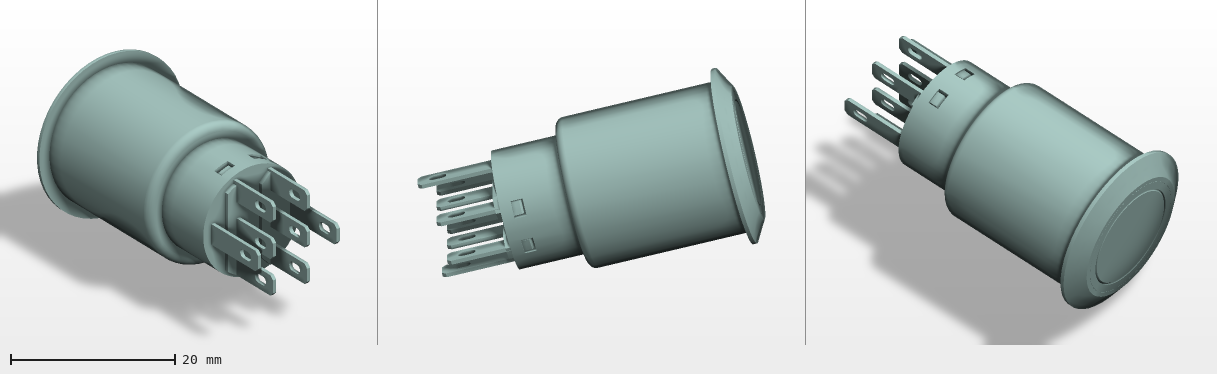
import cadquery as cq
import math


flange_diameter = 22.0
flange_thickness = 2.0
rim_width = 0.5
bevel_angle = 60.0
barrel_diameter = 18.9
barrel_end = 22.1
barrel_fillet = 1.0

base_diameter = 14.9
base_radius = base_diameter / 2
base_end = 30.5

recess_diameter = 15.55
recess_depth = flange_thickness
ring_diameter = 15.5
ring_bore = 13.45
button_diameter = 13.4
button_chamfer = 0.25

blade_thickness = 0.5
blade_width = 2.8
blade_corner = 0.5
blade_root = 1.0
slot_length = 2.2
slot_width = 1.2
slot_from_tip = 2.5
long_blade_tip = 40.0
long_blade_y = 6.0
short_blade_tip = 38.5
short_blade_y = 2.6
short_blade_spacing = 5.0

pad_height = 0.65
pad_width = 3.1
pad_arc_radius = 6.75
pad_arc_drop = 0.25
pad_chamfer = 1.3
pad_inner_y = short_blade_y - pad_width / 2
pad_root = 0.5

window_start = 27.5
window_length = 1.5
window_width = 2.05
window_y = 2.5
window_floor_radius = 6.0
latch_gap = 0.25
latch_radius = 7.2
latch_chamfer = 0.25


def cylinder(diameter, start, end):
    return cq.Workplane("YZ", origin=(start, 0, 0)).circle(diameter / 2).extrude(end - start)


def make_shell():
    """Bevelled flange, barrel with a rounded rear edge, and base, with the front recess."""
    bevel_end = flange_thickness - rim_width
    face_radius = flange_diameter / 2 - bevel_end * math.tan(math.radians(bevel_angle))
    outline = [
        (0, 0),
        (0, face_radius),
        (bevel_end, flange_diameter / 2),
        (flange_thickness, flange_diameter / 2),
        (flange_thickness, barrel_diameter / 2),
        (barrel_end, barrel_diameter / 2),
        (barrel_end, 0),
    ]
    shell = cq.Workplane("XY").polyline(outline).close().revolve(360, (0, 0, 0), (1, 0, 0))
    shell = shell.faces(">X").edges().fillet(barrel_fillet)
    shell = shell.union(cylinder(base_diameter, barrel_end, base_end))
    return shell.cut(cylinder(recess_diameter, 0, recess_depth))


def make_blade(tip, y, z):
    """Flat terminal with clipped tip corners and an obround solder slot."""
    start = base_end - blade_root
    length = tip - start
    blade = (
        cq.Workplane("XY")
        .box(length, blade_thickness, blade_width)
        .translate((start + length / 2, y, z))
        .faces(">X")
        .edges("|Y")
        .chamfer(blade_corner)
    )
    slot = (
        cq.Workplane("XZ", origin=(tip - slot_from_tip, y, z))
        .slot2D(slot_length, slot_width)
        .extrude(blade_thickness, both=True)
    )
    return blade.cut(slot)


def make_pad():
    """Pad on the +Y side: ends on a common arc, with the inner corners cut at 45 degrees."""
    start = base_end - pad_root
    length = pad_root + pad_height
    outer_y = pad_inner_y + pad_width
    chamfer_y = pad_inner_y + pad_chamfer

    def arc_rise(y):
        return math.sqrt(pad_arc_radius**2 - y**2)

    outer_rise = arc_rise(outer_y)
    chamfer_rise = arc_rise(chamfer_y)
    middle_y = (outer_y + chamfer_y) / 2
    middle_rise = arc_rise(middle_y)
    inner_rise = chamfer_rise - pad_chamfer
    return (
        cq.Workplane("YZ", origin=(start, 0, -pad_arc_drop))
        .moveTo(outer_y, -outer_rise)
        .lineTo(outer_y, outer_rise)
        .threePointArc((middle_y, middle_rise), (chamfer_y, chamfer_rise))
        .lineTo(pad_inner_y, inner_rise)
        .lineTo(pad_inner_y, -inner_rise)
        .lineTo(chamfer_y, -chamfer_rise)
        .threePointArc((middle_y, -middle_rise), (outer_y, -outer_rise))
        .close()
        .extrude(length)
    )


def make_window(y):
    """Opening cut into the top of the base, down to a round floor."""
    opening = (
        cq.Workplane("XY")
        .box(window_length, window_width, base_radius, centered=(False, True, False))
        .translate((window_start, y, 0))
    )
    floor = cylinder(2 * window_floor_radius, window_start, window_start + window_length)
    return opening.cut(floor)


def make_latch(y):
    """Latch tongue that fills the rear of a window, with a round top and a sloped front edge."""
    start = window_start + latch_gap
    end = window_start + window_length
    width = window_width - 2 * latch_gap
    tongue = (
        cq.Workplane("XY", origin=(start, y, window_floor_radius / 2))
        .box(end - start, width, base_radius, centered=(False, True, False))
    )
    top = cylinder(2 * latch_radius, start, end).faces("<X").edges().chamfer(latch_chamfer)
    return tongue.intersect(top)


def make_switch_body():
    body = make_shell()

    for y in (-window_y, window_y):
        window = make_window(y)
        latch = make_latch(y)
        body = body.cut(window).cut(window.mirror("XY"))
        body = body.union(latch).union(latch.mirror("XY"))

    pad = make_pad()
    body = body.union(pad).union(pad.mirror("XZ"))

    for side in (-1, 1):
        body = body.union(make_blade(long_blade_tip, side * long_blade_y, 0))
        for row in (-1, 0, 1):
            blade = make_blade(short_blade_tip, side * short_blade_y, row * short_blade_spacing)
            body = body.union(blade)
    return body


def make_light_ring():
    return cylinder(ring_diameter, 0, recess_depth).cut(cylinder(ring_bore, 0, recess_depth))


def make_push_button():
    button = cylinder(button_diameter, 0, recess_depth)
    return button.faces("<X").edges().chamfer(button_chamfer)


switch_body = make_switch_body()
light_ring = make_light_ring()
push_button = make_push_button()

result = cq.Compound.makeCompound([switch_body.val(), light_ring.val(), push_button.val()])